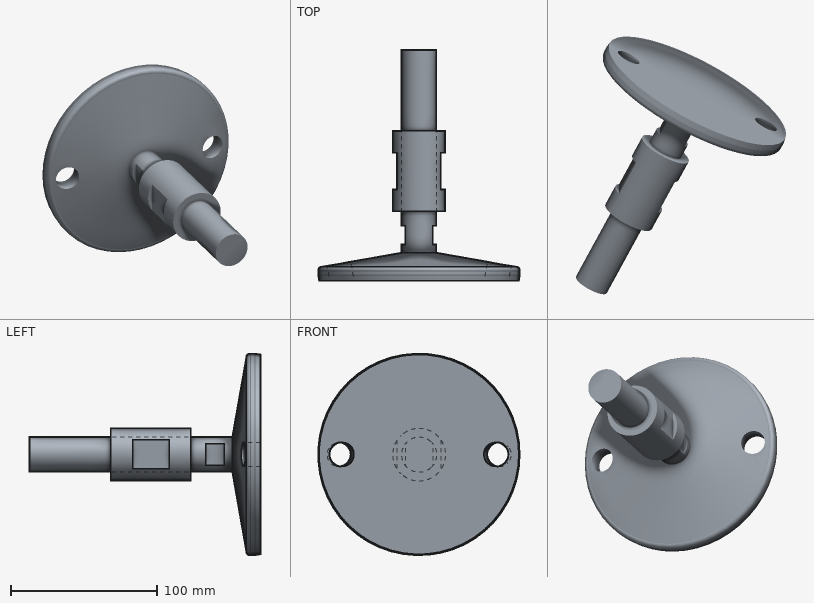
import cadquery as cq
import math


foot_diameter = 138.0
foot_radius = foot_diameter / 2
underside_inset = 0.6
taper_height = 4.1
rim_height = 7.1
shoulder_height = 9.8
shoulder_inset = 3.0
cone_top = 19.3

hole_diameter = 16.5
hole_offset = 52.8

stem_diameter = 24.0
stem_radius = stem_diameter / 2
stem_top = 158.0
stem_flat_start = 25.0
stem_flat_length = 12.6
stem_flat_width = 19.0

sleeve_diameter = 36.0
sleeve_start = 47.5
sleeve_length = 55.0
sleeve_flat_length = 25.0
sleeve_flat_width = 30.0
sleeve_flat_start = sleeve_start + (sleeve_length - sleeve_flat_length) / 2

shoulder_radius = foot_radius - shoulder_inset
cone_slope = math.atan2(cone_top - shoulder_height, shoulder_radius - stem_radius)


def cylinder_along_y(diameter, start, length):
    plane = cq.Plane(origin=(0, start, 0), xDir=(1, 0, 0), normal=(0, 1, 0))
    return cq.Workplane(plane).circle(diameter / 2).extrude(length)


def cut_flats(body, body_diameter, flat_width, start, length):
    """Cut two opposite wrench flats facing -X and +X."""
    for side in (-1, 1):
        cutter = (
            cq.Workplane("XY")
            .box(body_diameter, length, body_diameter)
            .translate((side * (flat_width + body_diameter) / 2, start + length / 2, 0))
        )
        body = body.cut(cutter)
    return body


def inclined_hole(side):
    """Hole square to the cone, on the side of the axis given by the sign."""
    direction = cq.Vector(side * math.sin(cone_slope), math.cos(cone_slope), 0)
    underside_centre = cq.Vector(side * hole_offset, 0, 0)
    start = underside_centre - direction * cone_top
    return cq.Solid.makeCylinder(hole_diameter / 2, 3 * cone_top, start, direction)


def make_foot_with_stem():
    profile = (
        cq.Workplane("XY")
        .lineTo(foot_radius - underside_inset, 0)
        .lineTo(foot_radius, taper_height)
        .lineTo(foot_radius, rim_height)
        .tangentArcPoint((shoulder_radius, shoulder_height), relative=False)
        .lineTo(stem_radius, cone_top)
        .lineTo(stem_radius, stem_top)
        .lineTo(0, stem_top)
        .close()
    )
    body = profile.revolve(360, (0, 0, 0), (0, 1, 0))
    for side in (-1, 1):
        body = body.cut(cq.Workplane(inclined_hole(side)))
    return cut_flats(body, stem_diameter, stem_flat_width, stem_flat_start, stem_flat_length)


def make_sleeve():
    body = cylinder_along_y(sleeve_diameter, sleeve_start, sleeve_length)
    body = body.cut(cylinder_along_y(stem_diameter, sleeve_start, sleeve_length))
    return cut_flats(body, sleeve_diameter, sleeve_flat_width, sleeve_flat_start, sleeve_flat_length)


foot_with_stem = make_foot_with_stem()
sleeve = make_sleeve()

result = cq.Compound.makeCompound([foot_with_stem.solids().val(), sleeve.solids().val()])